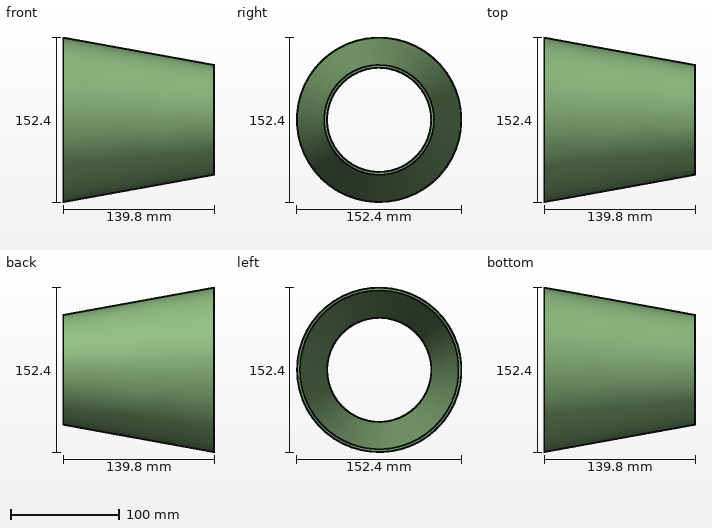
import cadquery as cq

length = 139.8
large_diameter = 152.4
small_diameter = 101.7
wall = 2.7

large_radius = large_diameter / 2
small_radius = small_diameter / 2

wall_section = [
    (0, large_radius - wall),
    (0, large_radius),
    (length, small_radius),
    (length, small_radius - wall),
]

result = (
    cq.Workplane("XY")
    .polyline(wall_section)
    .close()
    .revolve(360, (0, 0, 0), (1, 0, 0))
)